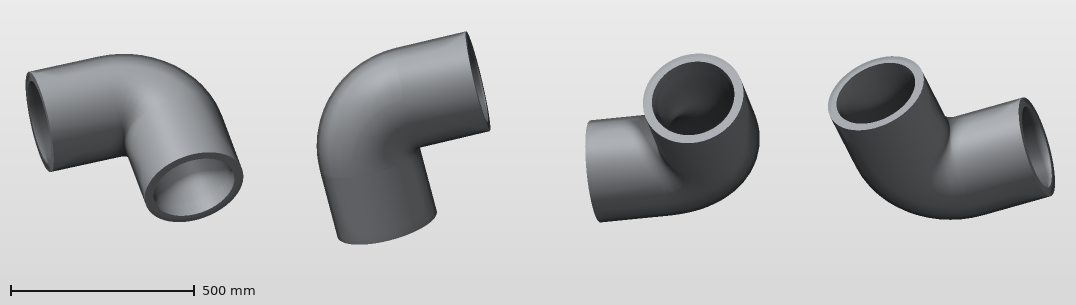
import cadquery as cq

overall_length = 480.0
outer_diameter = 280.0
bore_diameter = 229.5
leg_length = 198.0

bend_radius = overall_length - leg_length - outer_diameter / 2
bend_angle = 90


def ring(plane):
    """Pipe cross-section on the given plane."""
    return cq.Workplane(plane).circle(outer_diameter / 2).circle(bore_diameter / 2)


leg_y_plane = cq.Plane(origin=(-bend_radius, 0, 0), xDir=(1, 0, 0), normal=(0, -1, 0))
leg_x_plane = cq.Plane(origin=(0, bend_radius, 0), xDir=(0, 1, 0), normal=(1, 0, 0))

leg_y = ring(leg_y_plane).extrude(leg_length)
leg_x = ring(leg_x_plane).extrude(leg_length)

bend = ring(leg_y_plane).revolve(bend_angle, (bend_radius, 0), (bend_radius, -1))

result = bend.union(leg_y, glue=True).union(leg_x, glue=True)